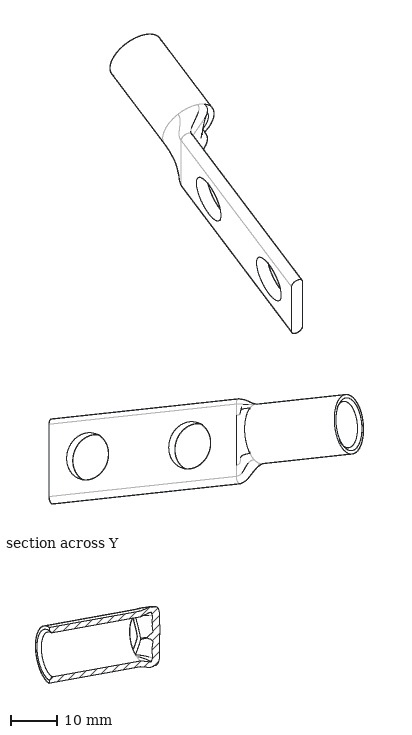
import cadquery as cq
import math


total_length = 76.71
barrel_diameter = 13.03
barrel_length = 22.3
transition_length = 7.8
wall = 1.45
tongue_thickness = 2.8
tongue_width = 18.8
entry_chamfer = 0.7

hole_diameter = 10.4
hole_spacing = 25.4
hole_end_distance = 9.6

crease_half_angle = math.radians(62.0)
crease_apex_y = 1.5
crease_apex_radius = 0.9
lower_corner_angle = math.radians(66.0)
upper_corner_angle = math.radians(111.0)
crease_lip_z_on_tongue = 5.5
fold_gap = 0.1
transition_steps = 6

side_delay = 1.0
outer_lip_delay = 1.5
inner_lip_delay = 1.0
apex_delay = 3.0

barrel_radius = barrel_diameter / 2
bore_radius = barrel_radius - wall
tongue_start = barrel_length + transition_length
tongue_mid_y = -barrel_radius + tongue_thickness / 2
flat_half_width = (tongue_width - tongue_thickness) / 2
bore_crease_apex_y = crease_apex_y - wall / math.sin(crease_half_angle)
crease_round_half_width = crease_apex_radius * math.cos(crease_half_angle)


def polar(radius, angle):
    """Point (y, z) on a circle, with the angle measured from -Y."""
    return (-radius * math.cos(angle), radius * math.sin(angle))


def creased_points(radius, apex_y):
    """Half outline of a circle with a V crease pressed in from +Y."""
    across = apex_y * math.sin(crease_half_angle)
    reach = -apex_y * math.cos(crease_half_angle) + math.sqrt(radius**2 - across**2)
    tip = (apex_y + reach * math.cos(crease_half_angle), reach * math.sin(crease_half_angle))
    tip_angle = math.atan2(tip[1], -tip[0])
    round_start_y = apex_y + crease_round_half_width / math.tan(crease_half_angle)
    round_apex_y = apex_y + crease_apex_radius * (1 / math.sin(crease_half_angle) - 1)
    return [
        polar(radius, 0),
        polar(radius, lower_corner_angle),
        polar(radius, (lower_corner_angle + upper_corner_angle) / 2),
        polar(radius, upper_corner_angle),
        polar(radius, (upper_corner_angle + tip_angle) / 2),
        tip,
        (round_start_y, crease_round_half_width),
        (round_apex_y, 0),
    ]


def flat_points(thickness):
    """Half outline of a flat bar with round edges, in the same point order."""
    edge_radius = thickness / 2
    low_y = tongue_mid_y - edge_radius
    high_y = tongue_mid_y + edge_radius
    return [
        (low_y, 0),
        (low_y, flat_half_width),
        (tongue_mid_y, flat_half_width + edge_radius),
        (high_y, flat_half_width),
        (high_y, (flat_half_width + crease_lip_z_on_tongue) / 2),
        (high_y, crease_lip_z_on_tongue),
        (high_y, crease_round_half_width),
        (high_y, 0),
    ]


def closed_outline(x, half_outline, is_flat):
    """Wire at x through a half outline and its mirror image across Z = 0."""
    bottom, low, side, high, lip, tip, leg, apex = [
        cq.Vector(x, y, z) for y, z in half_outline
    ]
    low_m, side_m, high_m, lip_m, tip_m, leg_m = [
        cq.Vector(p.x, p.y, -p.z) for p in (low, side, high, lip, tip, leg)
    ]

    def curve(start, middle, end):
        if is_flat:
            return cq.Edge.makeLine(start, end)
        return cq.Edge.makeThreePointArc(start, middle, end)

    return cq.Wire.assembleEdges([
        curve(low_m, bottom, low),
        cq.Edge.makeThreePointArc(low, side, high),
        curve(high, lip, tip),
        cq.Edge.makeSpline([
            tip, (tip + leg) * 0.5, leg, apex, leg_m, (leg_m + tip_m) * 0.5, tip_m,
        ]),
        curve(tip_m, lip_m, high_m),
        cq.Edge.makeThreePointArc(high_m, side_m, low_m),
    ])


def blended_points(start_points, end_points, lip_delay, travel):
    """Half outline at a fraction of the way along the transition."""
    smooth = travel**2 * (3 - 2 * travel)
    widening = (travel + smooth) / 2
    delays = [side_delay] * 4 + [lip_delay] * 2 + [apex_delay] * 2
    outline = []
    for (y0, z0), (y1, z1), delay in zip(start_points, end_points, delays):
        y = y0 + (y1 - y0) * smooth**delay
        z = z0 + (z1 - z0) * widening
        outline.append((y, z))
    return outline


def squashed_body(radius, apex_y, flat_thickness, lip_delay):
    """Solid that blends the creased circle into the flat bar along the transition."""
    start_points = creased_points(radius, apex_y)
    end_points = flat_points(flat_thickness)
    wires = []
    for step in range(transition_steps + 1):
        travel = step / transition_steps
        outline = blended_points(start_points, end_points, lip_delay, travel)
        x = barrel_length + travel * transition_length
        wires.append(closed_outline(x, outline, step == transition_steps))
    return cq.Workplane(obj=cq.Solid.makeLoft(wires))


def make_barrel():
    tube = cq.Workplane("YZ").circle(barrel_radius).circle(bore_radius).extrude(barrel_length)
    bore_mouth = cq.selectors.RadiusNthSelector(0)
    return tube.faces("<X").edges(bore_mouth).chamfer(entry_chamfer)


def make_transition():
    outside = squashed_body(barrel_radius, crease_apex_y, tongue_thickness, outer_lip_delay)
    inside = squashed_body(bore_radius, bore_crease_apex_y, fold_gap, inner_lip_delay)
    return outside.cut(inside)


def make_tongue():
    tongue = (
        cq.Workplane("YZ", origin=(tongue_start, tongue_mid_y, 0))
        .slot2D(tongue_width, tongue_thickness, 90)
        .extrude(total_length - tongue_start)
    )
    last_hole_x = total_length - hole_end_distance
    holes = (
        cq.Workplane("XZ", origin=(0, tongue_mid_y, 0))
        .pushPoints([(last_hole_x - hole_spacing, 0), (last_hole_x, 0)])
        .circle(hole_diameter / 2)
        .extrude(tongue_thickness, both=True)
    )
    return tongue.cut(holes)


result = make_barrel().union(make_transition()).union(make_tongue())